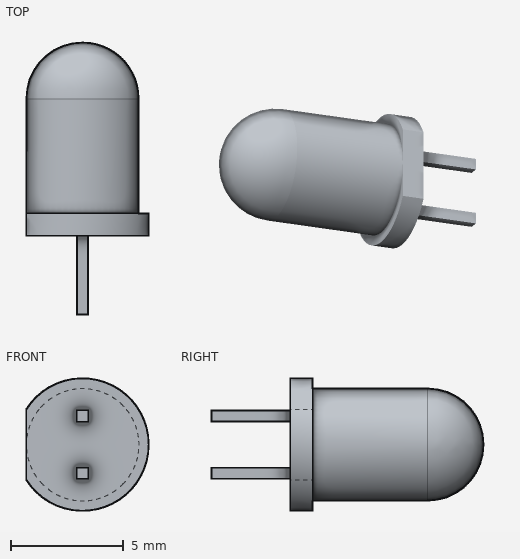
import cadquery as cq

body_diameter = 5.0
body_radius = body_diameter / 2
flange_diameter = 5.9
flange_thickness = 1.0
body_height = 8.6
cylinder_height = body_height - body_radius
flat_x = -body_radius
lead_width = 0.5
lead_length = 3.5
lead_pitch = 2.54


def make_lens():
    """Cylinder closed by a hemispherical dome, revolved about the Y axis."""
    dome_mid = body_radius * 0.5 ** 0.5
    return (
        cq.Workplane("XY")
        .lineTo(body_radius, 0)
        .lineTo(body_radius, cylinder_height)
        .threePointArc((dome_mid, cylinder_height + dome_mid), (0, body_height))
        .close()
        .revolve(360, (0, 0), (0, 1))
    )


def make_flange():
    """Round flange with a flat cut on its -X side."""
    disc = cq.Workplane("XZ").circle(flange_diameter / 2).extrude(-flange_thickness)
    keep_box = cq.Workplane("XY").box(
        flange_diameter, flange_thickness, flange_diameter, centered=(False, False, True)
    )
    return disc.intersect(keep_box.translate((flat_x, 0, 0)))


def make_leads():
    """Two square leads, one above the other, running out along -Y."""
    return (
        cq.Workplane("XZ")
        .rarray(1, lead_pitch, 1, 2)
        .rect(lead_width, lead_width)
        .extrude(lead_length)
    )


result = make_lens().union(make_flange()).union(make_leads())